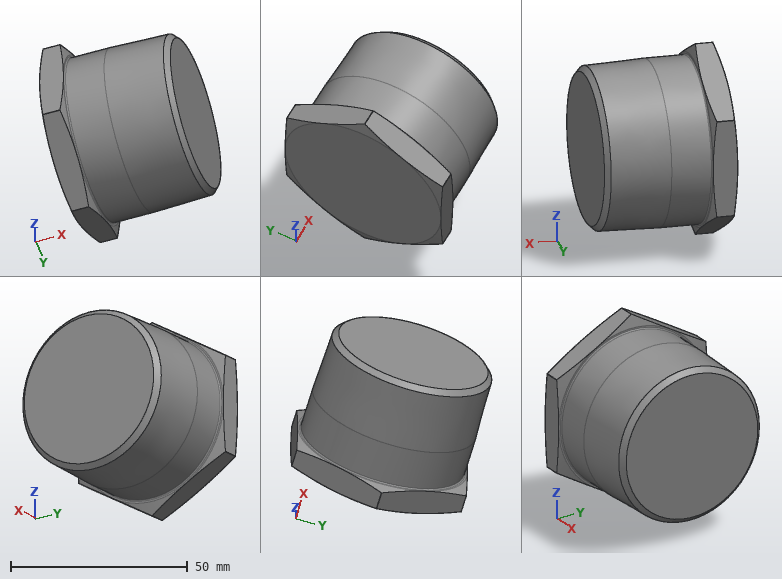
import cadquery as cq
import math

across_flats = 50.0
corner_diameter = 57.65
head_thickness = 7.15
head_chamfer_angle = 15.0

overall_length = 38.1
neck_diameter = 48.25
neck_end = 19.0
taper_ratio = 1 / 16
tip_chamfer = 1.55
root_fillet = 0.35


def revolve_about_x(profile):
    """Spin a closed (x, radius) profile around the X axis."""
    return profile.revolve(360, (0, 0, 0), (1, 0, 0))


def make_head():
    """Hexagonal prism with both faces chamfered and the corners turned down."""
    hexagon_diameter = across_flats / math.cos(math.pi / 6)
    prism = (
        cq.Workplane("YZ")
        .transformed(rotate=(0, 0, 90))
        .polygon(6, hexagon_diameter)
        .extrude(head_thickness)
    )
    face_radius = across_flats / 2
    corner_radius = corner_diameter / 2
    chamfer_depth = (corner_radius - face_radius) * math.tan(math.radians(head_chamfer_angle))
    turned_profile = (
        cq.Workplane("XY")
        .lineTo(0, face_radius)
        .lineTo(chamfer_depth, corner_radius)
        .lineTo(head_thickness - chamfer_depth, corner_radius)
        .lineTo(head_thickness, face_radius)
        .lineTo(head_thickness, 0)
        .close()
    )
    return prism.intersect(revolve_about_x(turned_profile))


def make_shank():
    """Straight neck filleted into the head, tapered section and chamfered tip."""
    neck_radius = neck_diameter / 2
    taper_end = overall_length - tip_chamfer
    taper_end_radius = neck_radius - (taper_end - neck_end) * taper_ratio / 2
    fillet_centre_x = head_thickness + root_fillet
    fillet_centre_radius = neck_radius + root_fillet
    fillet_reach = root_fillet * math.sqrt(0.5)
    profile = (
        cq.Workplane("XY")
        .moveTo(head_thickness, 0)
        .lineTo(head_thickness, fillet_centre_radius)
        .threePointArc(
            (fillet_centre_x - fillet_reach, fillet_centre_radius - fillet_reach),
            (fillet_centre_x, neck_radius),
        )
        .lineTo(neck_end, neck_radius)
        .lineTo(taper_end, taper_end_radius)
        .lineTo(overall_length, taper_end_radius - tip_chamfer)
        .lineTo(overall_length, 0)
        .close()
    )
    return revolve_about_x(profile)


result = make_head().union(make_shank())